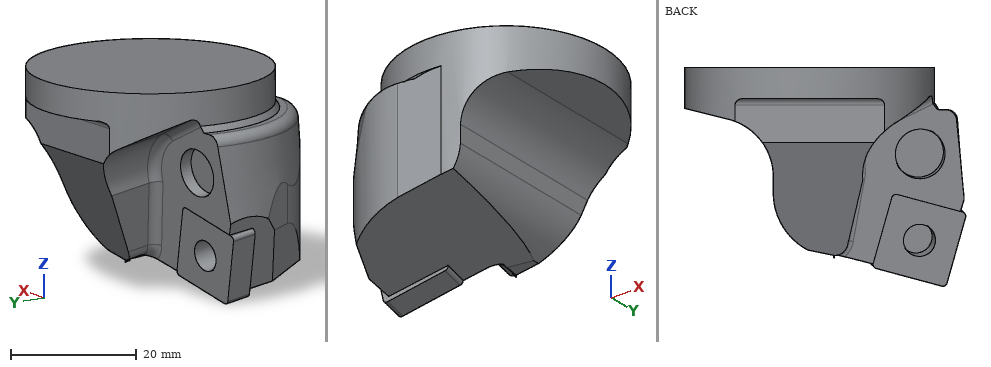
import cadquery as cq
import math

FLANGE_RADIUS = 40 / 2
HEAD_DEPTH = 38.2
REACH = 67.4

SKIRT_TOP = -5.7
SHOULDER_Z = -6.75
SHOULDER_INNER_RADIUS = 20.65
SHOULDER_OUTER_RADIUS = 21.88
SKIRT_UPPER_RADIUS = 23.65
SHOULDER_ROUND = SKIRT_UPPER_RADIUS - SHOULDER_OUTER_RADIUS
SKIRT_WIDEST_Z = -21.1
SKIRT_WIDEST_RADIUS = 24.7

FRONT_FLAT_START = (2.45, -19.9)
FRONT_FLAT_END = (-5.53, -21.0)
FRONT_ROUND_MIDDLE = (-16.1, -17.95)
SIDE_FLAT_START = (-21.1, -12.15)
SIDE_FLAT_END = (-27.15, 0.1)
OUTLINE_BACK_Y = 5.4

RAKE_Y = 6.75
RAKE_X_SLOPE = 0.12
RAKE_Z_SLOPE = 0.12
POCKET_FILLET = 1.55

INSERT_SIDE = 12.35
INSERT_THICKNESS = 4.63
INSERT_CORNER_RADIUS = 0.7
INSERT_TILT = 15.0
INSERT_HOLE_DIAMETER = 5.15
INSERT_CORNER = (-22.4, -35.4)

RECESS_DIAMETER = 8.0
RECESS_DEPTH = 2.25
RECESS_CENTRE = (-17.95, -13.93)

RIM_LOWER_EDGE = (FLANGE_RADIUS, -6.55)
UNDERCUT_START = (12.62, -8.4)
UNDERCUT_MIDDLE = (7.85, -11.65)
NECK_TOP = (5.85, -17.15)
NECK_BOTTOM = (NECK_TOP[0], -20.57)
HEEL_MIDDLE = (4.5, -25.15)
HEEL_END = (0.3, -29.2)
TOE_END = (-3.8, -30.05)

FLANGE_THICKNESS = 4.95
BACK_FACE_Y = 16.05
BACK_ROUND = 1.05
SLOPE_TOP = (BACK_FACE_Y, -12.05)
SLOPE_BOTTOM = (7.55, -30.05)

POCKET_UPPER_END = (-REACH, 19.3)
POCKET_ROUND_START = (-11.9, -8.1)
POCKET_ROUND_MIDDLE = (-8.75, -11.25)
POCKET_WALL_TOP = (-7.65, -17.0)
POCKET_WALL_BOTTOM = (-5.85, -27.75)
POCKET_FOOT_MIDDLE = (-5.15, -29.15)
POCKET_FOOT_END = (-3.8, -29.75)

BOTTOM_FACE = ((0, 0, -28.5), (0.27, -0.12, -1))
SIDE_CLEARANCE = ((-24.8, 1.1, -20.65), (-1, -0.1, -0.3))
FRONT_CLEARANCE = ((-23.0, -8.3, -23.6), (-1, -0.51, -0.23))

rake_plane = cq.Plane(
    origin=(0, RAKE_Y, 0),
    xDir=(1, RAKE_X_SLOPE, 0),
    normal=(RAKE_X_SLOPE, -1, RAKE_Z_SLOPE),
)


def half_space(point, outward):
    """Large block filling the side of a plane that 'outward' points to."""
    plane = cq.Plane(origin=point, normal=outward)
    return cq.Workplane(plane).rect(2 * REACH, 2 * REACH).extrude(REACH)


def make_stock():
    """Round flange column joined by the skirt inside its plan outline."""
    column = cq.Workplane("XY").circle(FLANGE_RADIUS).extrude(-HEAD_DEPTH)
    diagonal = SHOULDER_ROUND * math.sqrt(0.5)
    skirt = (
        cq.Workplane("XZ")
        .moveTo(0, SKIRT_TOP)
        .lineTo(FLANGE_RADIUS, SKIRT_TOP)
        .lineTo(SHOULDER_INNER_RADIUS, SHOULDER_Z)
        .lineTo(SHOULDER_OUTER_RADIUS, SHOULDER_Z)
        .threePointArc(
            (SHOULDER_OUTER_RADIUS + diagonal, SHOULDER_Z - SHOULDER_ROUND + diagonal),
            (SKIRT_UPPER_RADIUS, SHOULDER_Z - SHOULDER_ROUND),
        )
        .lineTo(SKIRT_WIDEST_RADIUS, SKIRT_WIDEST_Z)
        .lineTo(SKIRT_WIDEST_RADIUS, -HEAD_DEPTH)
        .lineTo(0, -HEAD_DEPTH)
        .close()
        .revolve(360, (0, 0, 0), (0, 1, 0))
    )
    outline = (
        cq.Workplane("XY")
        .moveTo(*FRONT_FLAT_START)
        .lineTo(*FRONT_FLAT_END)
        .threePointArc(FRONT_ROUND_MIDDLE, SIDE_FLAT_START)
        .lineTo(*SIDE_FLAT_END)
        .lineTo(SIDE_FLAT_END[0], OUTLINE_BACK_Y)
        .lineTo(FRONT_FLAT_START[0], OUTLINE_BACK_Y)
        .close()
        .extrude(-HEAD_DEPTH)
    )
    return column.union(skirt.intersect(outline))


def make_right_relief():
    """Curved clearance under the +X side of the flange."""
    return (
        cq.Workplane("XZ", origin=(0, REACH / 2, 0))
        .moveTo(REACH, RIM_LOWER_EDGE[1])
        .lineTo(*RIM_LOWER_EDGE)
        .lineTo(*UNDERCUT_START)
        .threePointArc(UNDERCUT_MIDDLE, NECK_TOP)
        .lineTo(*NECK_BOTTOM)
        .threePointArc(HEEL_MIDDLE, HEEL_END)
        .lineTo(*TOE_END)
        .lineTo(TOE_END[0], -HEAD_DEPTH)
        .lineTo(REACH, -HEAD_DEPTH)
        .close()
        .extrude(REACH)
    )


def make_back_relief():
    """Step under the flange and sloping back face on the +Y side."""
    return (
        cq.Workplane("YZ", origin=(-REACH / 2, 0, 0))
        .moveTo(REACH, -FLANGE_THICKNESS)
        .lineTo(BACK_FACE_Y + BACK_ROUND, -FLANGE_THICKNESS)
        .radiusArc((BACK_FACE_Y, -FLANGE_THICKNESS - BACK_ROUND), -BACK_ROUND)
        .lineTo(*SLOPE_TOP)
        .lineTo(*SLOPE_BOTTOM)
        .lineTo(SLOPE_BOTTOM[0], -HEAD_DEPTH)
        .lineTo(REACH, -HEAD_DEPTH)
        .close()
        .extrude(REACH)
    )


def make_chip_pocket():
    """Open pocket above the rake plane, bounded by a curved back wall."""
    return (
        cq.Workplane(rake_plane)
        .moveTo(*POCKET_UPPER_END)
        .lineTo(*POCKET_ROUND_START)
        .threePointArc(POCKET_ROUND_MIDDLE, POCKET_WALL_TOP)
        .lineTo(*POCKET_WALL_BOTTOM)
        .threePointArc(POCKET_FOOT_MIDDLE, POCKET_FOOT_END)
        .lineTo(POCKET_FOOT_END[0], -HEAD_DEPTH)
        .lineTo(-REACH, -HEAD_DEPTH)
        .close()
        .extrude(-REACH)
        .faces(cq.selectors.DirectionMinMaxSelector(rake_plane.zDir, True))
        .edges()
        .fillet(POCKET_FILLET)
    )


def make_recess():
    """Blind round recess in the pocket floor."""
    return (
        cq.Workplane(rake_plane)
        .center(*RECESS_CENTRE)
        .circle(RECESS_DIAMETER / 2)
        .extrude(RECESS_DEPTH)
    )


def insert_frame():
    """Workplane on the rake plane, centred on the insert and turned with it."""
    return (
        cq.Workplane(rake_plane)
        .center(*INSERT_CORNER)
        .transformed(rotate=(0, 0, INSERT_TILT))
        .center(INSERT_SIDE / 2, INSERT_SIDE / 2)
    )


def make_insert_blank():
    """Square insert without its hole, seated flush with the pocket floor."""
    return (
        insert_frame()
        .sketch()
        .rect(INSERT_SIDE, INSERT_SIDE)
        .vertices()
        .fillet(INSERT_CORNER_RADIUS)
        .finalize()
        .extrude(INSERT_THICKNESS)
    )


def make_insert():
    """Insert with its central screw hole."""
    hole = insert_frame().circle(INSERT_HOLE_DIAMETER / 2).extrude(INSERT_THICKNESS)
    return make_insert_blank().cut(hole)


def make_head():
    """Head trimmed from the stock, without the seat of the insert."""
    head = make_stock()
    for point, outward in (BOTTOM_FACE, SIDE_CLEARANCE, FRONT_CLEARANCE):
        head = head.cut(half_space(point, outward))
    head = head.cut(make_right_relief()).cut(make_back_relief())
    return head.cut(make_chip_pocket()).cut(make_recess())


head = make_head().cut(make_insert_blank())
insert = make_insert()
result = cq.Compound.makeCompound([head.val(), insert.val()])